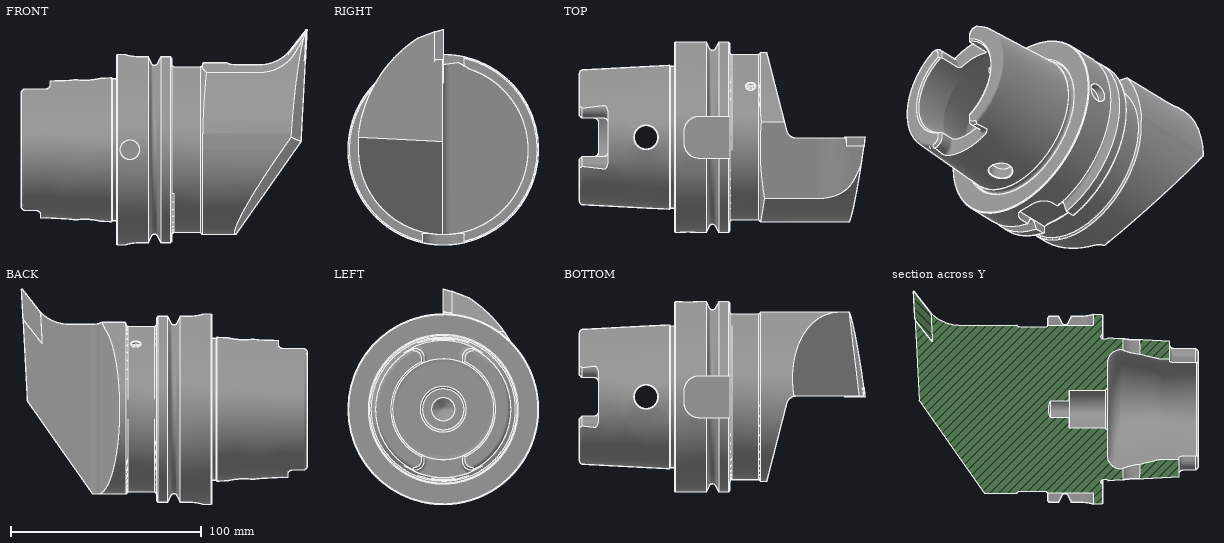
import cadquery as cq
import math


shank_length = 50.0
taper_end_x = -2.6
taper_end_radius = 37.8
taper_slope = 0.05
shank_tip_radius = taper_end_radius - taper_slope * (shank_length + taper_end_x)
shank_tip_round = 2.0
relief_radius = 37.3
relief_lead_in = 0.4
relief_round = 1.4
relief_depth = 1.0
relief_rim_radius = 39.3

bore_radius = 26.5
bore_chamfer = 0.9
bore_cone_start_x = -30.4
bore_cone_end_x = -9.5
bore_inner_radius = 31.5
bore_bottom_round = 7.0
bore_bottom_x = bore_cone_end_x + bore_bottom_round
tube_recess_radius = 10.8
tube_recess_chamfer = 1.2
tube_recess_depth = 20.0
drill_radius = 6.1
drill_depth = 10.0
drill_tip_angle = 118.0
clamp_hole_x = -15.0
clamp_hole_radius = 6.15
clamp_hole_chamfer = 0.3

drive_half_width = 10.0
drive_flat_z = 31.95
drive_flare_radius = 5.0
drive_flare_half_width = 25.0
drive_height = 45.0
drive_floor_round = 2.0
drive_mouth_chamfer = 1.5
upper_drive_depth = 15.0
lower_drive_depth = 10.0

flange_radius = 50.0
flange_end_x = 29.0
flange_front_chamfer = 0.4
flange_back_chamfer = 0.8
groove_radius = 45.7
groove_corner_round = 1.4
groove_front_x = 16.6
groove_floor_start_x = 18.7
groove_floor_end_x = 20.9
groove_back_x = 23.2

key_slot_start_x = 4.9
key_slot_width = 22.0
key_slot_corner_radius = 8.0
key_slot_floor_z = 44.0
chip_hole_x = 6.9
chip_hole_radius = 5.1
chip_hole_depth = 4.6

neck_radius = 43.5
neck_root_round = 1.0
neck_end_x = 43.9
screw_x = 39.85
screw_angle = 38.0
screw_radius = 2.3
screw_hole_depth = 10.0
screw_hole_chamfer = 0.4
screw_recess = 2.0
screw_length = 6.0
socket_across_flats = 2.5
socket_depth = 1.2

head_radius = neck_radius + neck_root_round
head_start_x = neck_end_x + neck_root_round
head_cone_slope = 0.306
head_outer_radius = 70.0
head_end_x = 110.0
side_arc_radius = 70.0
side_arc_center_y = 25.0
roof_front_y = -32.1
roof_ridge_y = 8.0
roof_ridge_z = 45.7
shoulder_y = 14.2

rake_face_y = -0.35
relief_wall_angle = 14.4
relief_wall_root_x = 59.8
relief_wall_round = 5.0
scoop_start_x = 74.9
clearance_angle = 7.0
heel_x = 96.73
heel_z = 4.28
belly_angle = 35.07
belly_clearance_angle = 8.87

nose_angle = 35.0
lead_angle = 3.0
insert_side = 16.6
insert_thickness = 4.76
insert_relief_angle = 5.0
nose_radius = 0.4
tip_x = 99.9
tip_z = 63.03
insert_top_y = 0.2
insert_setback = 0.65
insert_bottom_y = insert_top_y - insert_thickness

BIG = 200.0


def sin(angle):
    return math.sin(math.radians(angle))


def cos(angle):
    return math.cos(math.radians(angle))


def tan(angle):
    return math.tan(math.radians(angle))


def around_axis(profile):
    """Revolve a closed (x, radius) profile about the X axis."""
    return profile.close().revolve(360, (0, 0, 0), (1, 0, 0))


bisector_angle = lead_angle + nose_angle / 2
nose_center_distance = nose_radius / sin(nose_angle / 2)
sharp_tip_x = tip_x - nose_radius + nose_center_distance * sin(bisector_angle)
sharp_tip_z = tip_z - nose_radius + nose_center_distance * cos(bisector_angle)


def rhombus_points(inset):
    """Corners (x, z) of the insert outline moved inwards by inset."""
    shift = inset / sin(nose_angle / 2)
    side = insert_side - 2 * inset / sin(nose_angle)
    x = sharp_tip_x - shift * sin(bisector_angle)
    z = sharp_tip_z - shift * cos(bisector_angle)
    back = (side * sin(lead_angle + nose_angle), side * cos(lead_angle + nose_angle))
    down = (side * sin(lead_angle), side * cos(lead_angle))
    return [
        (x, z),
        (x - down[0], z - down[1]),
        (x - down[0] - back[0], z - down[1] - back[1]),
        (x - back[0], z - back[1]),
    ]


def make_sharp_insert():
    """Insert with sharp corners, which is also the shape of its pocket."""
    inset = insert_thickness * tan(insert_relief_angle)
    return (
        cq.Workplane("XZ", origin=(0, insert_top_y, 0))
        .polyline(rhombus_points(0)).close()
        .workplane(offset=insert_thickness)
        .polyline(rhombus_points(inset)).close()
        .loft(ruled=True)
    )


def make_insert():
    """Insert with both acute corners rounded."""
    insert = make_sharp_insert()
    middle_y = insert_top_y - insert_thickness / 2
    outline = rhombus_points(insert_thickness / 2 * tan(insert_relief_angle))
    for x, z in (outline[0], outline[2]):
        corner = cq.selectors.NearestToPointSelector((x, middle_y, z))
        insert = insert.edges(corner).fillet(nose_radius)
    return insert


def make_shank_and_flange():
    """Outside of the shank, flange and neck as one turned profile."""
    profile = (
        cq.Workplane("XY")
        .moveTo(-shank_length, 0)
        .lineTo(-shank_length, shank_tip_radius - shank_tip_round)
        .radiusArc((-shank_length + shank_tip_round, shank_tip_radius), shank_tip_round)
        .lineTo(taper_end_x, taper_end_radius)
        .lineTo(taper_end_x + relief_lead_in, relief_radius)
        .lineTo(relief_depth - relief_round, relief_radius)
        .radiusArc((relief_depth, relief_radius + relief_round), -relief_round)
        .lineTo(0, relief_rim_radius)
        .lineTo(0, flange_radius - flange_front_chamfer)
        .lineTo(flange_front_chamfer, flange_radius)
        .lineTo(groove_front_x, flange_radius)
        .lineTo(groove_floor_start_x, groove_radius)
        .lineTo(groove_floor_end_x, groove_radius)
        .lineTo(groove_back_x, flange_radius)
        .lineTo(flange_end_x - flange_back_chamfer, flange_radius)
        .lineTo(flange_end_x, flange_radius - flange_back_chamfer)
        .lineTo(flange_end_x, neck_radius + neck_root_round)
        .radiusArc((flange_end_x + neck_root_round, neck_radius), -neck_root_round)
        .lineTo(neck_end_x, neck_radius)
        .radiusArc((head_start_x, head_radius), -neck_root_round)
        .lineTo(head_start_x, 0)
    )
    turned = around_axis(profile)
    groove_corners = turned.edges("%CIRCLE").filter(
        lambda edge: math.isclose(edge.radius(), groove_radius)
    )
    return groove_corners.fillet(groove_corner_round)


def make_bore():
    """Bore of the shank, coolant tube recess and centre drilling."""
    recess_end_x = bore_bottom_x + tube_recess_depth
    drill_end_x = recess_end_x + drill_depth
    drill_point = drill_radius / tan(drill_tip_angle / 2)
    profile = (
        cq.Workplane("XY")
        .moveTo(-shank_length, 0)
        .lineTo(-shank_length, bore_radius + bore_chamfer)
        .lineTo(-shank_length + bore_chamfer, bore_radius)
        .lineTo(bore_cone_start_x, bore_radius)
        .lineTo(bore_cone_end_x, bore_inner_radius)
        .radiusArc((bore_bottom_x, bore_inner_radius - bore_bottom_round), bore_bottom_round)
        .lineTo(bore_bottom_x, tube_recess_radius + tube_recess_chamfer)
        .lineTo(bore_bottom_x + tube_recess_chamfer, tube_recess_radius)
        .lineTo(recess_end_x, tube_recess_radius)
        .lineTo(recess_end_x, drill_radius)
        .lineTo(drill_end_x, drill_radius)
        .lineTo(drill_end_x + drill_point, 0)
    )
    return around_axis(profile)


def drive_section(x):
    """Cross-section of the upper driving slot at x, flaring outwards at the flat."""
    flare_start_z = drive_flat_z - drive_flare_radius
    flare_end_y = drive_half_width + drive_flare_radius
    return (
        cq.Workplane("YZ", origin=(x, 0, 0))
        .moveTo(-drive_half_width, 0)
        .lineTo(drive_half_width, 0)
        .lineTo(drive_half_width, flare_start_z)
        .radiusArc((flare_end_y, drive_flat_z), drive_flare_radius)
        .lineTo(drive_flare_half_width, drive_flat_z)
        .lineTo(drive_flare_half_width, drive_height)
        .lineTo(-drive_flare_half_width, drive_height)
        .lineTo(-drive_flare_half_width, drive_flat_z)
        .lineTo(-flare_end_y, drive_flat_z)
        .radiusArc((-drive_half_width, flare_start_z), drive_flare_radius)
        .close()
    )


def make_drive_slot(depth):
    """Driving slot with a rounded floor and a chamfered mouth."""
    slot = drive_section(-shank_length).extrude(depth).faces(">X").edges().fillet(drive_floor_round)
    mouth_x = -shank_length + drive_mouth_chamfer
    mouth = drive_section(mouth_x).extrude(-drive_mouth_chamfer, taper=-45)
    return slot.union(mouth)


def make_clamp_hole():
    """Cross hole through both walls of the shank."""
    return cq.Workplane("XY", origin=(clamp_hole_x, 0, -flange_radius)).circle(
        clamp_hole_radius).extrude(2 * flange_radius)


def chamfer_hole_rims(holder):
    """Break the outer rims of the clamping cross hole."""
    outer_radius = taper_end_radius + taper_slope * (clamp_hole_x - taper_end_x)
    for z in (outer_radius, -outer_radius):
        rim = cq.selectors.NearestToPointSelector((clamp_hole_x, 0, z))
        holder = holder.edges("%BSPLINE or %OTHER").edges(rim).chamfer(clamp_hole_chamfer)
    return holder


def make_key_slot():
    """Upper key slot, open towards the neck, with rounded front corners."""
    return (
        cq.Workplane("XY", origin=(0, 0, key_slot_floor_z))
        .moveTo(key_slot_start_x, -key_slot_width / 2)
        .rect(flange_end_x - key_slot_start_x, key_slot_width, centered=False)
        .extrude(flange_radius)
        .edges("<X and |Z").fillet(key_slot_corner_radius)
    )


def make_chip_hole():
    """Flat-bottomed round hole in the -Y side of the flange."""
    return cq.Workplane("XZ", origin=(chip_hole_x, chip_hole_depth - flange_radius, 0)).circle(
        chip_hole_radius).extrude(flange_radius)


def screw_plane(radius):
    """Plane across the set screw axis at a distance from the tool axis, facing outwards."""
    direction = cq.Vector(0, sin(screw_angle), cos(screw_angle))
    return cq.Plane(cq.Vector(screw_x, 0, 0) + direction * radius, (1, 0, 0), direction)


def make_screw_hole():
    """Blind screw hole with a countersunk mouth."""
    bottom_plane = screw_plane(neck_radius - screw_hole_depth)
    hole = cq.Workplane(bottom_plane).circle(screw_radius).extrude(screw_hole_depth)
    mouth = (
        cq.Workplane(screw_plane(neck_radius - screw_hole_chamfer))
        .circle(screw_radius)
        .workplane(offset=screw_hole_chamfer)
        .circle(screw_radius + screw_hole_chamfer)
        .loft()
    )
    return hole.union(mouth)


def make_set_screw():
    """Headless screw with a hexagon socket, sunk in the neck."""
    top = neck_radius - screw_recess
    body = cq.Workplane(screw_plane(top)).circle(screw_radius).extrude(-screw_length)
    corner_diameter = socket_across_flats / cos(30)
    socket = cq.Workplane(screw_plane(top)).polygon(6, corner_diameter).extrude(-socket_depth)
    return body.cut(socket)


def make_head_blank():
    """Head section drawn along X, with its rear end trimmed to a cone."""
    side_flat_y = -head_radius
    flat_top_z = math.sqrt(side_arc_radius**2 - (side_arc_center_y - side_flat_y) ** 2)

    def side_arc_point(z):
        return (side_arc_center_y - math.sqrt(side_arc_radius**2 - z**2), z)

    tip_top_z = sharp_tip_z + 1
    shoulder_z = math.sqrt(head_radius**2 - shoulder_y**2)
    half = math.sqrt(0.5) * head_radius
    section = (
        cq.Workplane("YZ", origin=(neck_end_x, 0, 0))
        .moveTo(side_flat_y, 0)
        .lineTo(side_flat_y, flat_top_z)
        .threePointArc(side_arc_point((flat_top_z + tip_top_z) / 2), side_arc_point(tip_top_z))
        .lineTo(roof_ridge_y, tip_top_z)
        .lineTo(roof_ridge_y, roof_ridge_z)
        .lineTo(shoulder_y, shoulder_z)
        .threePointArc((half, -half), (side_flat_y, 0))
        .close()
        .extrude(head_end_x - neck_end_x)
    )
    envelope = around_axis(
        cq.Workplane("XY")
        .moveTo(head_start_x, 0)
        .lineTo(head_start_x, head_radius)
        .lineTo(head_start_x + head_cone_slope * (head_outer_radius - head_radius), head_outer_radius)
        .lineTo(head_end_x, head_outer_radius)
        .lineTo(head_end_x, 0)
    )
    return section.intersect(envelope)


def make_relief_cut():
    """Space beside the rake face, bounded by a sloping wall with a rounded root."""
    wall_run = head_outer_radius * tan(relief_wall_angle)
    return (
        cq.Workplane("XY", origin=(0, 0, -BIG / 2))
        .moveTo(relief_wall_root_x, rake_face_y)
        .lineTo(head_end_x, rake_face_y)
        .lineTo(head_end_x, rake_face_y + head_outer_radius)
        .lineTo(relief_wall_root_x - wall_run, rake_face_y + head_outer_radius)
        .close()
        .extrude(BIG)
        .edges("|Z")
        .edges(cq.selectors.NearestToPointSelector((relief_wall_root_x, rake_face_y, 0)))
        .fillet(relief_wall_round)
    )


side_edge_z = math.sqrt(side_arc_radius**2 - (side_arc_center_y - roof_front_y) ** 2)
roof_slope = (roof_ridge_z - side_edge_z) / (roof_ridge_y - roof_front_y)


def scoop_section(y):
    """Closed (x, z) outline of the space over the roof, the arc and the flank at a given y."""
    back_angle = lead_angle + nose_angle
    sweep_angle = 90 - back_angle
    roof_z = roof_ridge_z + roof_slope * (y - roof_ridge_y)
    top_z = head_outer_radius + tip_z
    flank_setback = insert_setback + tan(clearance_angle) * (insert_bottom_y - y)
    flank_tip_x = sharp_tip_x + flank_setback / cos(back_angle)
    corner_x = flank_tip_x - (sharp_tip_z - roof_z) * tan(back_angle)
    tangent_length = corner_x - scoop_start_x
    radius = tangent_length / tan(sweep_angle / 2)
    middle = (
        scoop_start_x + radius * sin(sweep_angle / 2),
        roof_z + radius * (1 - cos(sweep_angle / 2)),
    )
    end = (scoop_start_x + radius * sin(sweep_angle), roof_z + radius * (1 - cos(sweep_angle)))
    return (
        cq.Workplane("XZ", origin=(0, y, 0))
        .moveTo(0, roof_z)
        .lineTo(scoop_start_x, roof_z)
        .threePointArc(middle, end)
        .lineTo(flank_tip_x + (top_z - sharp_tip_z) * tan(back_angle), top_z)
        .lineTo(0, top_z)
        .close()
        .wires()
        .val()
    )


def make_scoop_cut():
    """Space over the roof and along the flank, joined by an arc that widens towards -Y."""
    sections = [scoop_section(y) for y in (shoulder_y, -head_outer_radius)]
    return cq.Workplane(cq.Solid.makeLoft(sections, True))


def half_space(point, normal):
    """Large block lying on the normal's side of the plane through point."""
    return cq.Workplane(cq.Plane(point, (0, 1, 0), normal)).rect(BIG, BIG).extrude(BIG)


def make_clearance_cuts():
    """End flank and belly of the cutting arm."""
    heel = (heel_x, rake_face_y, heel_z)
    end = half_space(heel, (1, -tan(clearance_angle), -tan(lead_angle)))
    belly = half_space(heel, (1, -tan(belly_clearance_angle), -tan(belly_angle)))
    return [end, belly]


def make_holder():
    """Shank, flange, neck and head as one body, with the insert pocket and all holes."""
    head = make_head_blank().cut(make_relief_cut()).cut(make_scoop_cut())
    for cut in make_clearance_cuts():
        head = head.cut(cut)
    holder = make_shank_and_flange().union(head)
    holder = chamfer_hole_rims(holder.cut(make_bore()).cut(make_clamp_hole()))
    holder = holder.cut(make_drive_slot(upper_drive_depth))
    holder = holder.cut(make_drive_slot(lower_drive_depth).rotate((0, 0, 0), (1, 0, 0), 180))
    key_slot = make_key_slot()
    holder = holder.cut(key_slot).cut(key_slot.mirror("XY"))
    holder = holder.cut(make_chip_hole()).cut(make_screw_hole())
    return holder.cut(make_sharp_insert())


holder = make_holder()
insert = make_insert()
set_screw = make_set_screw()
result = cq.Compound.makeCompound([holder.val(), insert.val(), set_screw.val()])